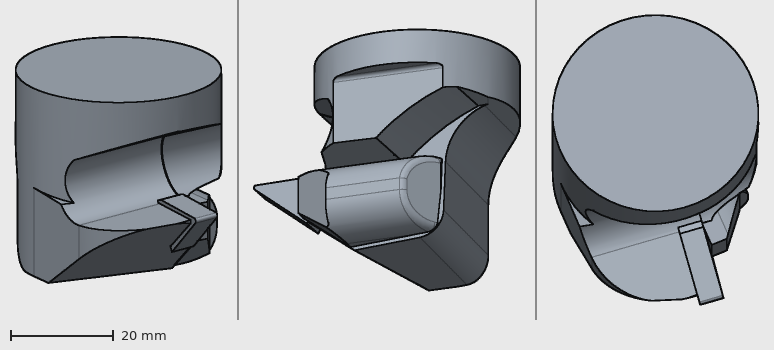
import cadquery as cq
import math

TOTAL_HEIGHT = 38.5
SHANK_RADIUS = 20.015
BIG = 80.8

FOOT_LEFT = -8.0
FOOT_TOP = 18.15
FOOT_BOTTOM_RADIUS = 4.95
LEFT_ARC_START = 15.45
LEFT_ARC_RADIUS = 11.05
LEFT_ARC_END = -16.15
LEFT_EDGE_Z = 27.05
FOOT_NOSE_RADIUS = 15.6
FOOT_NOSE_X = 15.3
FOOT_BACK_Y = 8.6
LEDGE_LOW = 17.2
LEDGE_LENGTH = 10.8
BACK_FLAT_Y = 16.5
BACK_FLAT_TOP = 31.6
BACK_FLAT_RADIUS = 0.8

RAKE_Y = 6.4
RAKE_SLOPE_X = 0.14
RAKE_SLOPE_Z = 0.1
RAKE_NORMAL = cq.Vector(-RAKE_SLOPE_X, -1, -RAKE_SLOPE_Z)
RAKE = cq.Plane(origin=(0, RAKE_Y, 0), xDir=(1, -RAKE_SLOPE_X, 0), normal=RAKE_NORMAL)

HOOK_X = 18.25
HOOK_Z = 23.75
HOOK_RADIUS = 6.8
HOOK_ROOF_ANGLE = 24.3
HOOK_ROOF_START = 140.0
LAND_ANGLE = 3.0
HOOK_REACH = 32.3
HOOK_STRAIGHT_Y = 0.25

FLANK_START_X = 11.25
FLANK_START_Y = RAKE_Y - RAKE_SLOPE_X * FLANK_START_X
FLANK_SLOPE = 0.79
FLANK_RELIEF = 0.255

GULLET_ROOF = 16.85
GULLET_ARC_START = 1.1
GULLET_ARC_MIDDLE = (-5.9, 22.35)
GULLET_ARC_END = (-14.55, 26.4)
PAD_LEFT = -7.25
PAD_FLANK_X = 11.05
PAD_RIGHT = 22.6
PAD_INNER_Y = 2.15
PAD_ROUND_Y = 6.75
PAD_OUTER_Y = 13.6
PAD_BOTTOM = 0.85
PAD_TOP = 16.7
PAD_EDGE_RADIUS = 1.6
PAD_LOWER_MIDDLE = (11.85, 3.1)
PAD_LOWER_END = 7.8
PAD_UPPER_START = 10.25
PAD_UPPER_MIDDLE = (11.35, 14.45)
PAD_UPPER_END_Y = 5.9
PAD_LEFT_BEVEL = ((PAD_LEFT, 6.45), (3.75, 21.55))
PAD_RIGHT_BEVEL = ((14.0, 11.85), (23.7, 4.6))
PAD_LEFT_FACE_POINT = (-4.85, 10.25, 8.6)

INSERT_THICKNESS = 4.75
INSERT_TIP_RADIUS = 0.5


def make_foot():
    """Foot with a round left end, a flat front and a large nose round."""
    nose_y = FOOT_NOSE_RADIUS - SHANK_RADIUS
    nose_end = FOOT_NOSE_X + FOOT_NOSE_RADIUS
    back_left = -math.sqrt(SHANK_RADIUS**2 - FOOT_BACK_Y**2)
    diagonal = FOOT_NOSE_RADIUS * math.sqrt(0.5)
    return (
        cq.Workplane("XY")
        .moveTo(0, -SHANK_RADIUS)
        .lineTo(FOOT_NOSE_X, -SHANK_RADIUS)
        .threePointArc((FOOT_NOSE_X + diagonal, nose_y - diagonal), (nose_end, nose_y))
        .lineTo(nose_end, FOOT_BACK_Y)
        .lineTo(back_left, FOOT_BACK_Y)
        .threePointArc((-SHANK_RADIUS, 0), (0, -SHANK_RADIUS))
        .close()
        .extrude(FOOT_TOP)
    )


def make_ledge_cut():
    """Thin wedge that slopes the ledge beside the shank down to the right."""
    wedge = [(0, FOOT_TOP), (LEDGE_LENGTH, FOOT_TOP), (LEDGE_LENGTH, LEDGE_LOW)]
    return cq.Workplane("XZ").polyline(wedge).close().extrude(BIG)


def make_left_cut():
    """Space left of the foot, swept up under the shank by a concave arc."""
    bottom_round = FOOT_BOTTOM_RADIUS
    inner = bottom_round * (1 - math.sqrt(0.5))
    drop = LEFT_ARC_RADIUS * math.sqrt(0.5)
    arc_centre_x = FOOT_LEFT - LEFT_ARC_RADIUS
    arc_middle = (arc_centre_x + drop, LEFT_ARC_START + drop)
    arc_end_z = LEFT_ARC_START + math.sqrt(LEFT_ARC_RADIUS**2 - (LEFT_ARC_END - arc_centre_x) ** 2)
    return (
        cq.Workplane("XZ")
        .moveTo(-BIG, -BIG)
        .lineTo(FOOT_LEFT + bottom_round, -BIG)
        .lineTo(FOOT_LEFT + bottom_round, 0)
        .threePointArc((FOOT_LEFT + inner, inner), (FOOT_LEFT, bottom_round))
        .lineTo(FOOT_LEFT, LEFT_ARC_START)
        .threePointArc(arc_middle, (LEFT_ARC_END, arc_end_z))
        .lineTo(-SHANK_RADIUS, LEFT_EDGE_Z)
        .lineTo(-BIG, LEFT_EDGE_Z)
        .close()
        .extrude(BIG, both=True)
    )


def make_back_cut():
    """Flat on the back of the shank below its rim."""
    return (
        cq.Workplane("XY")
        .box(2 * BIG, BIG, BACK_FLAT_TOP, centered=(True, False, False))
        .translate((0, BACK_FLAT_Y, 0))
        .edges("<Y and >Z")
        .fillet(BACK_FLAT_RADIUS)
    )


def hook_outline(plane):
    """Round relief that opens to the right between a sloping roof and the land."""
    roof = math.radians(HOOK_ROOF_ANGLE)
    corner = math.radians(HOOK_ROOF_START)
    land = math.radians(LAND_ANGLE)
    roof_x = HOOK_X + HOOK_RADIUS * math.cos(corner)
    roof_z = HOOK_Z + HOOK_RADIUS * math.sin(corner)
    land_x = HOOK_X + HOOK_RADIUS * math.sin(land)
    land_z = HOOK_Z - HOOK_RADIUS * math.cos(land)
    return (
        cq.Workplane(plane)
        .moveTo(roof_x, roof_z)
        .threePointArc((HOOK_X - HOOK_RADIUS, HOOK_Z), (land_x, land_z))
        .lineTo(land_x + HOOK_REACH, land_z + HOOK_REACH * math.tan(land))
        .lineTo(roof_x + HOOK_REACH, roof_z + HOOK_REACH * math.tan(roof))
        .close()
    )


def make_tilted_hook_cut():
    """Part of the relief that follows the rake normal toward the front."""
    return hook_outline(RAKE).extrude(BIG)


def make_straight_hook_cut():
    """Part of the relief that runs straight to the back."""
    plane = cq.Plane(origin=(0, HOOK_STRAIGHT_Y, 0), xDir=(1, 0, 0), normal=(0, -1, 0))
    return hook_outline(plane).extrude(-BIG)


def make_flank_cut():
    """Everything below the inclined flank plane."""
    along_edge = cq.Vector(1, -RAKE_SLOPE_X - RAKE_SLOPE_Z * FLANK_SLOPE, FLANK_SLOPE)
    along_base = cq.Vector(FLANK_RELIEF, 1, 0)
    flank = cq.Plane(
        origin=(FLANK_START_X, FLANK_START_Y, 0),
        xDir=along_edge,
        normal=along_base.cross(along_edge),
    )
    return cq.Workplane(flank).rect(2 * BIG, 2 * BIG).extrude(BIG)


def make_gullet_cut():
    """Chip space behind the rake plane, under an arched roof."""
    return (
        cq.Workplane(RAKE)
        .moveTo(-BIG, -BIG)
        .lineTo(BIG, -BIG)
        .lineTo(BIG, HOOK_Z)
        .lineTo(HOOK_X, HOOK_Z)
        .lineTo(HOOK_X, GULLET_ROOF)
        .lineTo(GULLET_ARC_START, GULLET_ROOF)
        .threePointArc(GULLET_ARC_MIDDLE, GULLET_ARC_END)
        .lineTo(-BIG, GULLET_ARC_END[1])
        .close()
        .extrude(-BIG)
    )


def make_back_pad():
    """D-shaped pad behind the rake plane, rounded on the left and beveled on the right."""
    pad = (
        cq.Workplane("YZ", origin=(PAD_LEFT, 0, 0))
        .moveTo(PAD_INNER_Y, PAD_BOTTOM)
        .lineTo(PAD_ROUND_Y, PAD_BOTTOM)
        .threePointArc(PAD_LOWER_MIDDLE, (PAD_OUTER_Y, PAD_LOWER_END))
        .lineTo(PAD_OUTER_Y, PAD_UPPER_START)
        .threePointArc(PAD_UPPER_MIDDLE, (PAD_UPPER_END_Y, PAD_TOP))
        .lineTo(PAD_INNER_Y, PAD_TOP)
        .close()
        .extrude(PAD_RIGHT - PAD_LEFT)
    )
    for start, end in (PAD_LEFT_BEVEL, PAD_RIGHT_BEVEL):
        outline = [start, (start[0], BIG), (end[0], BIG), end]
        pad = pad.cut(cq.Workplane("XY").polyline(outline).close().extrude(TOTAL_HEIGHT))
    pad = pad.faces(cq.selectors.NearestToPointSelector(PAD_LEFT_FACE_POINT)).edges("not <Y")
    pad = pad.fillet(PAD_EDGE_RADIUS)
    flank_end = PAD_FLANK_X + PAD_TOP / FLANK_SLOPE
    below = [(PAD_FLANK_X, 0), (flank_end, PAD_TOP), (flank_end, 0)]
    return pad.cut(cq.Workplane("XZ").polyline(below).close().extrude(BIG, both=True))


def make_insert():
    """Wedge-shaped cutting insert, flush with the rake plane."""
    outline = [(17.9, 17.4), (19.4, 18.0), (35.4, 18.65), (22.2, 7.9)]
    blank = cq.Workplane(RAKE).polyline(outline).close().extrude(INSERT_THICKNESS)
    return blank.edges(">X").fillet(INSERT_TIP_RADIUS)


def make_holder(insert):
    shank = (
        cq.Workplane("XY", origin=(0, 0, LEDGE_LOW))
        .circle(SHANK_RADIUS)
        .extrude(TOTAL_HEIGHT - LEDGE_LOW)
    )
    holder = shank.union(make_foot().cut(make_ledge_cut()))
    holder = holder.cut(make_back_cut())
    holder = holder.cut(make_tilted_hook_cut())
    holder = holder.cut(make_straight_hook_cut())
    holder = holder.cut(make_gullet_cut())
    holder = holder.union(make_back_pad())
    holder = holder.cut(make_left_cut())
    holder = holder.cut(make_flank_cut())
    return holder.cut(insert)


insert = make_insert()
holder = make_holder(insert)
result = cq.Compound.makeCompound([holder.val(), insert.val()])